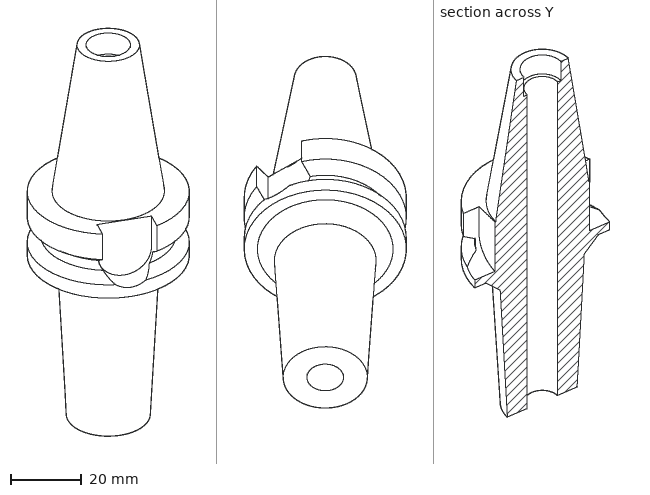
import cadquery as cq

total_height = 123.4
taper_length = 48.4
collar_height = 0.6
flange_top = total_height - taper_length - collar_height

upper_rim_depth = 8.5
groove_top_depth = 11.2
groove_bottom_depth = 14.4
lower_rim_depth = 16.9
flange_depth = 21.3
neck_depth = 26.2

taper_small_radius = 8.9
taper_large_radius = 15.9
flange_radius = 46.0 / 2
groove_radius = 19.3
body_top_radius = 14.4
body_bottom_radius = 12.0

through_radius = 5.2
counterbore_radius = 6.3
counterbore_depth = 7.0

slot_width = 16.0
slot_floor = 16.2
slot_depth = 18.3


def turned_body():
    """Solid of revolution: nose, grooved flange and tapered shank."""
    profile = [
        (0, 0),
        (body_bottom_radius, 0),
        (body_top_radius, flange_top - neck_depth),
        (groove_radius, flange_top - flange_depth),
        (flange_radius, flange_top - flange_depth),
        (flange_radius, flange_top - lower_rim_depth),
        (groove_radius, flange_top - groove_bottom_depth),
        (groove_radius, flange_top - groove_top_depth),
        (flange_radius, flange_top - upper_rim_depth),
        (flange_radius, flange_top),
        (taper_large_radius, flange_top),
        (taper_large_radius, flange_top + collar_height),
        (taper_small_radius, total_height),
        (0, total_height),
    ]
    return cq.Workplane("XZ").polyline(profile).close().revolve(360, (0, 0), (0, 1))


def stepped_bore():
    """Through hole with a wider counterbore at the small end of the taper."""
    hole = cq.Workplane("XY").circle(through_radius).extrude(total_height)
    counterbore = (
        cq.Workplane("XY", origin=(0, 0, total_height - counterbore_depth))
        .circle(counterbore_radius)
        .extrude(counterbore_depth)
    )
    return hole.union(counterbore)


def drive_slot(side):
    """Round-ended slot cutter on the +X (side = 1) or -X (side = -1) side."""
    half_width = slot_width / 2
    arc_level = flange_top - slot_depth + half_width
    return (
        cq.Workplane("YZ", origin=(side * slot_floor, 0, 0))
        .moveTo(-half_width, flange_top)
        .lineTo(-half_width, arc_level)
        .threePointArc((0, flange_top - slot_depth), (half_width, arc_level))
        .lineTo(half_width, flange_top)
        .close()
        .extrude(side * flange_radius)
    )


result = turned_body().cut(stepped_bore())
for side in (-1, 1):
    result = result.cut(drive_slot(side))